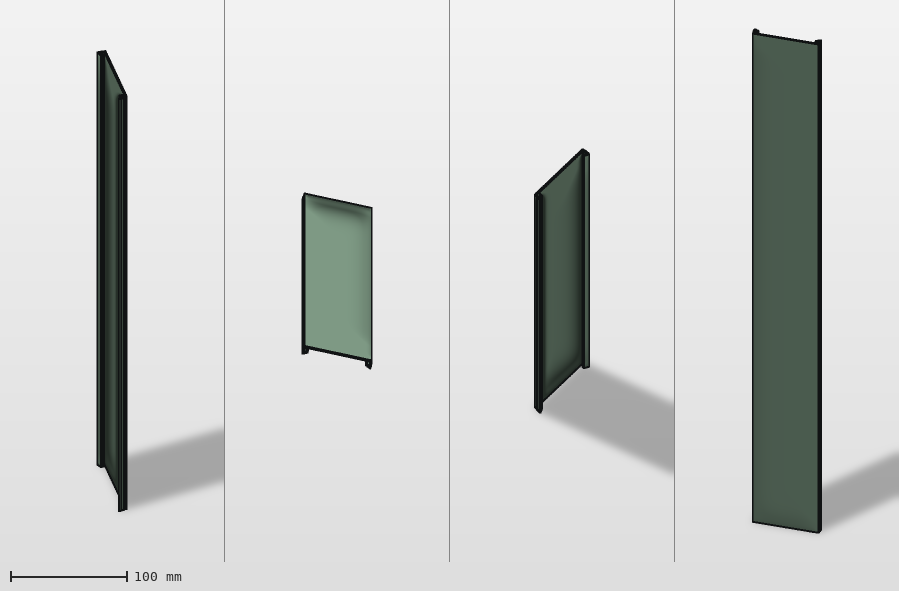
import cadquery as cq

LENGTH = 500.0
HALF_WIDTH = 60.5 / 2
DEPTH = 7.5

PLATE_THICKNESS = 1.5
COVER_BEVEL = 0.25
LEG_THICKNESS = 1.0
LEG_TIP_Y = 2.0

OUTER_LIP = 0.5
LIP_TOP_Y = 4.5
TAPER = 0.1
TAPER_START_Y = 3.0
LOWER_BEVEL_Y = 1.0
LOWER_BEVEL_X = 0.25
STRIP_WIDTH = 4.5
INNER_LIP = 0.75
FLOOR_Y = 3.0
INNER_BOTTOM_Y = 2.0

LEG_OUTER_X = HALF_WIDTH - OUTER_LIP
LEG_INNER_X = LEG_OUTER_X - LEG_THICKNESS
PLATE_UNDERSIDE_Y = DEPTH - PLATE_THICKNESS


def extrude_profile(points):
    """Extrude a closed XY outline over the full length."""
    return cq.Workplane("XY").polyline(points).close().extrude(LENGTH)


def make_cover():
    right_half = [
        (LEG_INNER_X, PLATE_UNDERSIDE_Y),
        (LEG_INNER_X, LEG_TIP_Y),
        (LEG_OUTER_X, LEG_TIP_Y),
        (LEG_OUTER_X, DEPTH - COVER_BEVEL),
        (LEG_OUTER_X - COVER_BEVEL, DEPTH),
    ]
    left_half = [(-x, y) for x, y in reversed(right_half)]
    return extrude_profile(right_half + left_half)


def make_edge_strip(side):
    """Make the strip on one side: -1 for -X, +1 for +X."""
    inner_x = HALF_WIDTH - STRIP_WIDTH
    channel_x = inner_x + INNER_LIP
    outline = [
        (LEG_OUTER_X, LIP_TOP_Y),
        (HALF_WIDTH - TAPER, LIP_TOP_Y),
        (HALF_WIDTH, TAPER_START_Y),
        (HALF_WIDTH, LOWER_BEVEL_Y),
        (HALF_WIDTH - LOWER_BEVEL_X, 0),
        (inner_x, INNER_BOTTOM_Y),
        (inner_x, LIP_TOP_Y),
        (channel_x, LIP_TOP_Y),
        (channel_x, FLOOR_Y),
        (LEG_INNER_X, FLOOR_Y),
        (LEG_INNER_X, LEG_TIP_Y),
        (LEG_OUTER_X, LEG_TIP_Y),
    ]
    return extrude_profile([(side * x, y) for x, y in outline])


cover = make_cover()
edge_strips = [make_edge_strip(side) for side in (-1, 1)]

result = cq.Compound.makeCompound([cover.val(), *[strip.val() for strip in edge_strips]])